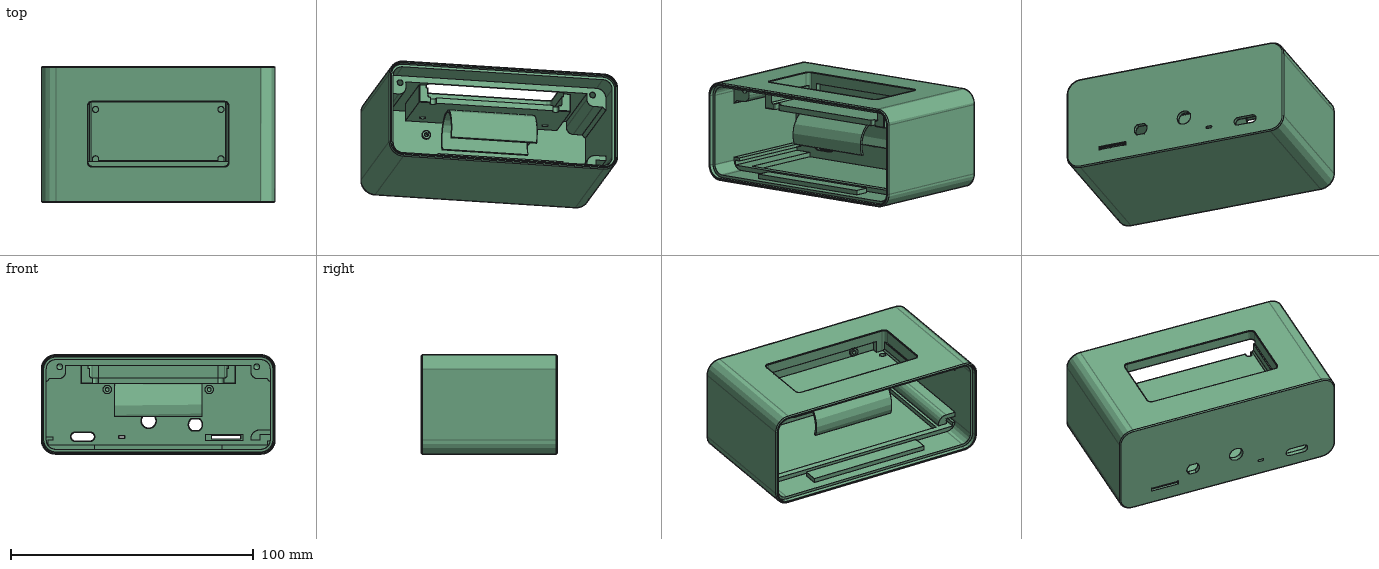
import cadquery as cq
import math


drill_point_angle = 118.0
flare_angle = 45.0

length = 96.3
depth = 56.0
height = 41.0
corner_radius = 6.0
wall = 2.0
edge_chamfer = 0.5
front_y = -depth / 2
back_y = depth / 2
inner_back_y = back_y - wall
inner_x = length / 2 - wall
inner_z = height / 2 - wall

cover_seat_inset = 1.0
cover_seat_depth = 1.9

rail_front_y = -13.8
rail_length = inner_back_y - rail_front_y

roof_bottom_z = 16.0
screw_corner_x = 38.1
screw_corner_bottom_z = 10.6
screw_corner_radius = 2.9
screw_corner_gusset = 1.3
cover_screw_x = 40.5
cover_screw_z = 15.5
cover_screw_diameter = 2.4
cover_screw_depth = 7.7

opening_half_x = 28.9
opening_front_y = -13.1
opening_back_y = 13.4
opening_radius = 1.6
opening_flare = 0.3
tray_half_x = 31.9
tray_front_y = -11.1
tray_back_y = 15.8
tray_bottom_z = 8.6
tray_front_chamfer = 0.3
tray_floor_z = 10.9
ledge_half_x = 28.3
ledge_top_z = 14.8
ledge_foot = 0.7
window_half_x = 24.65

tray_hole_diameter = 2.5
tray_hole_x = 25.8
tray_hole_front_y = -10.0
tray_hole_back_y = 10.3

cradle_left_x = -17.9
cradle_right_x = 18.1
cradle_axis_y = 0.2
cradle_axis_z = -1.0
cradle_radius = 10.0
cradle_thickness = 1.0
cradle_tip_z = -5.0

board_bottom_z = -16.7
board_top_z = -14.6
board_frame_width = 2.7
side_ledge_x = 38.6
left_clip_x = 43.3
left_clip_top_z = -13.4
left_stop_x = 45.45
right_stop_x = 45.0
right_stop_top_z = -15.0
right_rail_x = 38.1
right_rail_top_z = -10.5
right_rail_radius = 3.7
right_rail_notch_x = 42.0
right_rail_notch_z = -12.4

pad_half_x = 26.3
pad_front_y = -22.0
pad_back_y = -15.6

post_x = 21.0
post_z = 6.2
post_diameter = 3.5
post_length = 1.0
post_hole_diameter = 1.6
post_hole_depth = 1.7

cutout_flare = 0.2
jack_diameter = 6.0
jack_x = -3.9
jack_z = -6.7
switch_diameter = 5.6
switch_flats = 4.7
switch_x = 15.3
switch_z = -8.3
port_x = -31.1
port_z = -13.3
port_length = 9.6
port_height = 3.5
light_x = -15.0
light_z = -13.4
light_length = 2.4
light_height = 1.0
card_left_x = 22.0
card_right_x = 33.9
card_bottom_z = -14.2
card_top_z = -12.7
card_recess_left_x = 19.5
card_recess_right_x = 35.0
card_recess_bottom_z = -14.9
card_recess_top_z = -12.4
card_recess_depth = 1.0


def block(x0, x1, y0, y1, z0, z1):
    """Axis-aligned box between two opposite corners."""
    return cq.Workplane("XY").box(x1 - x0, y1 - y0, z1 - z0, centered=False).translate((x0, y0, z0))


def section(y):
    """Workplane at the given Y with local axes along +X and +Z; it extrudes towards -Y."""
    return cq.Workplane("XZ", origin=(0, y, 0))


def rounded_prism(inset, y0, y1):
    """Outer sleeve outline, moved inwards by the inset and extruded from y0 to y1."""
    prism = section(y1).rect(length - 2 * inset, height - 2 * inset).extrude(y1 - y0)
    return prism.edges("|Y").fillet(corner_radius - inset)


def drilled_hole(x, z, y, diameter, hole_depth):
    """Blind hole entering from the front at the given Y, ending in a drill point."""
    radius = diameter / 2
    tip = radius / math.tan(math.radians(drill_point_angle / 2))
    profile = [(0, y), (radius, y), (radius, y + hole_depth), (0, y + hole_depth + tip)]
    hole = cq.Workplane("XY").polyline(profile).close().revolve(360, (0, 0, 0), (0, 1, 0))
    return hole.translate((x, 0, z))


def flared(cutter, face, flare):
    """Cutter with a sloping flare added around the edge of the chosen end face."""
    rim = cutter.faces(face).wires().toPending().offset2D(flare)
    return cutter.union(rim.extrude(-flare, taper=flare_angle, combine=False))


def make_sleeve():
    sleeve = rounded_prism(0, front_y, back_y).faces("<Y or >Y").chamfer(edge_chamfer)
    sleeve = sleeve.cut(rounded_prism(wall, front_y, inner_back_y))
    return sleeve.cut(rounded_prism(cover_seat_inset, front_y, front_y + cover_seat_depth))


def make_screw_corner():
    """Left roof corner that carries a cover screw."""
    bottom = screw_corner_bottom_z
    radius = screw_corner_radius
    return (
        section(inner_back_y)
        .moveTo(-inner_x, inner_z)
        .lineTo(-screw_corner_x, inner_z)
        .lineTo(-screw_corner_x, bottom + radius)
        .radiusArc((-screw_corner_x - radius, bottom), radius)
        .lineTo(-inner_x + screw_corner_gusset, bottom)
        .lineTo(-inner_x, bottom - screw_corner_gusset)
        .close()
        .extrude(rail_length)
    )


def make_roof():
    roof = block(-inner_x, inner_x, rail_front_y, inner_back_y, roof_bottom_z, inner_z)
    corner = make_screw_corner()
    roof = roof.union(corner).union(corner.mirror("YZ"))
    for x in (-cover_screw_x, cover_screw_x):
        roof = roof.cut(
            drilled_hole(x, cover_screw_z, rail_front_y, cover_screw_diameter, cover_screw_depth)
        )
    return roof


def make_tray():
    """Tray block with chamfered front edges, set back between the front screw holes."""
    tray = block(-tray_half_x, tray_half_x, tray_front_y, tray_back_y, tray_bottom_z, roof_bottom_z)
    tray = tray.faces("<Y").edges("|Z or <Z").chamfer(tray_front_chamfer)
    setback = block(
        -tray_hole_x,
        tray_hole_x,
        tray_front_y,
        tray_front_y + tray_front_chamfer,
        tray_bottom_z,
        tray_floor_z,
    )
    return tray.cut(setback)


def make_opening():
    """Rounded opening down to the tray floor, flared at the top and narrowed between the ledges."""
    top_z = height / 2
    opening = block(
        -opening_half_x, opening_half_x, opening_front_y, opening_back_y, tray_floor_z, top_z
    )
    opening = opening.edges("|Z").fillet(opening_radius)
    opening = flared(opening, ">Z", opening_flare)
    for side in (-1, 1):
        ledge = (
            section(opening_back_y)
            .moveTo(side * opening_half_x, ledge_top_z)
            .lineTo(side * ledge_half_x, ledge_top_z)
            .lineTo(side * ledge_half_x, tray_floor_z + ledge_foot)
            .lineTo(side * (ledge_half_x - ledge_foot), tray_floor_z)
            .lineTo(side * opening_half_x, tray_floor_z)
            .close()
            .extrude(opening_back_y - tray_front_y)
        )
        opening = opening.cut(ledge)
    return opening


def make_tray_cavity():
    """Window in the back wall of the tray and four floor holes, the front two as open slots."""
    cavity = block(
        -window_half_x, window_half_x, opening_back_y, tray_back_y, tray_floor_z, roof_bottom_z
    )
    floor = cq.Workplane("XY", origin=(0, 0, tray_bottom_z))
    floor_thickness = tray_floor_z - tray_bottom_z
    radius = tray_hole_diameter / 2
    for x in (-tray_hole_x, tray_hole_x):
        for y in (tray_hole_front_y, tray_hole_back_y):
            cavity = cavity.union(floor.center(x, y).circle(radius).extrude(floor_thickness))
        cavity = cavity.union(
            block(x - radius, x + radius, tray_front_y, tray_hole_front_y, tray_bottom_z, tray_floor_z)
        )
    return cavity


def make_cradle():
    """Tube along X, kept between its lower tips and the underside of the tray, open at the bottom."""
    span = cradle_right_x - cradle_left_x
    tube = (
        cq.Workplane("YZ", origin=(cradle_left_x, cradle_axis_y, cradle_axis_z))
        .circle(cradle_radius)
        .circle(cradle_radius - cradle_thickness)
        .extrude(span)
    )
    kept = block(
        cradle_left_x,
        cradle_right_x,
        cradle_axis_y - cradle_radius,
        cradle_axis_y + cradle_radius,
        cradle_tip_z,
        tray_bottom_z,
    )
    return tube.intersect(kept)


def make_board_frame():
    """Floor frame below the board: a front bar and a ledge along each side."""
    frame = block(-inner_x, inner_x, rail_front_y, inner_back_y, -inner_z, board_bottom_z)
    recess = block(
        -side_ledge_x,
        side_ledge_x,
        rail_front_y + board_frame_width,
        inner_back_y,
        -inner_z,
        board_bottom_z,
    )
    return frame.cut(recess)


def make_board_guides():
    left_stop = block(-inner_x, -left_stop_x, rail_front_y, inner_back_y, board_bottom_z, board_top_z)
    left_clip = block(-inner_x, -left_clip_x, rail_front_y, inner_back_y, board_top_z, left_clip_top_z)
    right_stop = block(
        right_stop_x, inner_x, rail_front_y, inner_back_y, board_bottom_z, right_stop_top_z
    )
    right_rail = (
        section(inner_back_y)
        .moveTo(inner_x, right_rail_top_z)
        .lineTo(right_rail_x + right_rail_radius, right_rail_top_z)
        .radiusArc((right_rail_x, right_rail_top_z - right_rail_radius), -right_rail_radius)
        .lineTo(right_rail_x, board_top_z)
        .lineTo(right_rail_notch_x, board_top_z)
        .lineTo(right_rail_notch_x, right_rail_notch_z)
        .lineTo(inner_x, right_rail_notch_z)
        .close()
        .extrude(rail_length)
    )
    return left_stop.union(left_clip).union(right_stop).union(right_rail)


def make_floor_pad():
    return block(-pad_half_x, pad_half_x, pad_front_y, pad_back_y, -inner_z, board_bottom_z)


def make_posts():
    posts = section(inner_back_y).pushPoints([(-post_x, post_z), (post_x, post_z)])
    return posts.circle(post_diameter / 2).extrude(post_length)


def make_post_holes():
    post_front_y = inner_back_y - post_length
    left = drilled_hole(-post_x, post_z, post_front_y, post_hole_diameter, post_hole_depth)
    right = drilled_hole(post_x, post_z, post_front_y, post_hole_diameter, post_hole_depth)
    return left.union(right)


def make_back_cutouts():
    panel = section(back_y)
    jack = panel.center(jack_x, jack_z).circle(jack_diameter / 2).extrude(wall)
    switch = panel.center(switch_x, switch_z).circle(switch_diameter / 2).extrude(wall)
    switch = switch.intersect(
        panel.center(switch_x, switch_z).rect(switch_diameter, switch_flats).extrude(wall)
    )
    port = panel.center(port_x, port_z).slot2D(port_length, port_height).extrude(wall)
    light = panel.center(light_x, light_z).slot2D(light_length, light_height).extrude(wall)
    card = block(card_left_x, card_right_x, inner_back_y, back_y, card_bottom_z, card_top_z)
    card_recess = block(
        card_recess_left_x,
        card_recess_right_x,
        inner_back_y,
        inner_back_y + card_recess_depth,
        card_recess_bottom_z,
        card_recess_top_z,
    )
    cutouts = card.union(card_recess)
    for cutter in (jack, switch, port, light):
        cutouts = cutouts.union(flared(cutter, "<Y", cutout_flare))
    return cutouts


interior = (
    make_roof()
    .union(make_tray())
    .union(make_board_frame())
    .union(make_board_guides())
    .union(make_floor_pad())
)
interior = interior.intersect(rounded_prism(wall / 2, front_y, back_y))

result = (
    make_sleeve()
    .union(interior)
    .union(make_cradle())
    .union(make_posts())
    .cut(make_opening())
    .cut(make_tray_cavity())
    .cut(make_back_cutouts())
    .cut(make_post_holes())
)